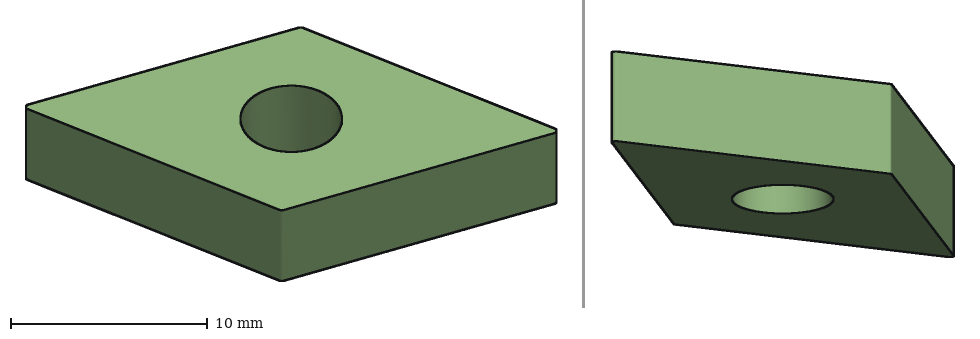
import cadquery as cq
import math

overall_length = 24.03
width = 12.7
thickness = 4.75
nose_angle = math.radians(55)
hole_diameter = 5.17

side = width / math.sin(nose_angle)
slant_run = side * math.cos(nose_angle)
sharp_length = side + slant_run

shortening_per_radius = 1 / math.tan(nose_angle / 2) - 1
nose_radius = (sharp_length - overall_length) / (2 * shortening_per_radius)

left = -sharp_length / 2
right = sharp_length / 2
corners = [
    (left, -width / 2),
    (left + side, -width / 2),
    (right, width / 2),
    (right - side, width / 2),
]

plate = (
    cq.Workplane("XY")
    .polyline(corners)
    .close()
    .extrude(thickness)
    .edges("|Z")
    .fillet(nose_radius)
)

result = plate.faces(">Z").workplane(origin=(0, 0, thickness)).hole(hole_diameter)